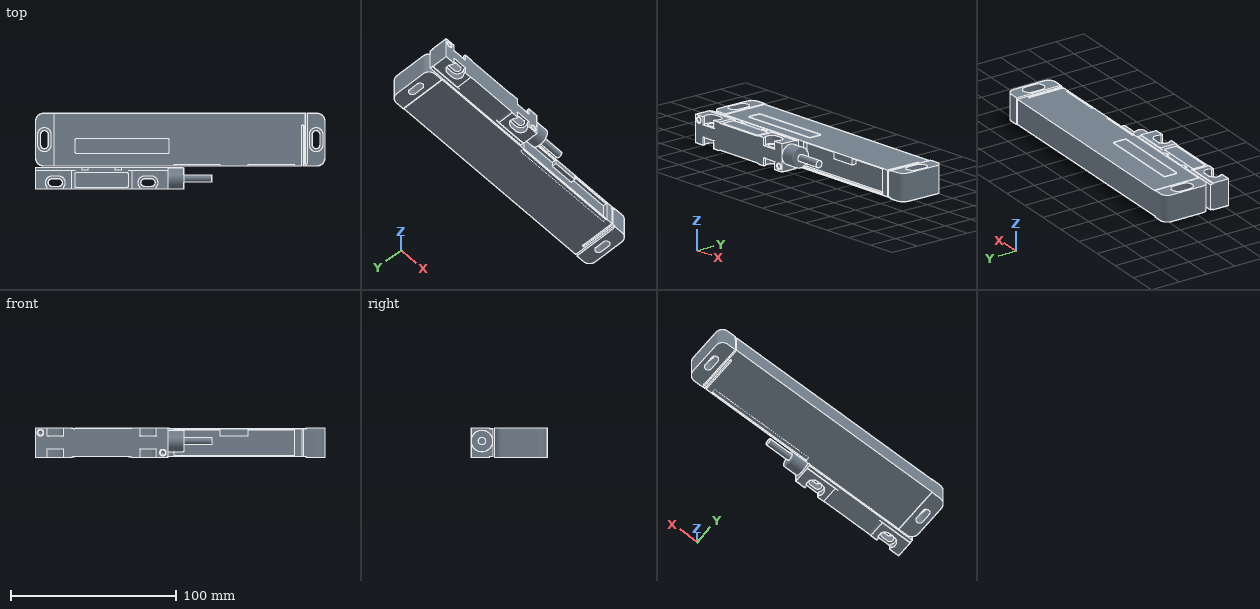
import cadquery as cq
HEIGHT = 18.0
STEP = 0.5
OVERLAP = 1.0

HOUSING_LENGTH = 175.0
HOUSING_FRONT = 14.0
HOUSING_BACK = 46.0
HOUSING_MIDDLE = (HOUSING_FRONT + HOUSING_BACK) / 2
CORNER_RADIUS = 5.0
LEFT_CAP_END = 11.2

SLIT_WIDTH = 1.0
BACK_SLIT_X = 163.1
BACK_SLIT_END = 15.2
FRONT_SLIT_X = 161.0
FRONT_SLIT_END = 38.6
RIGHT_BLOCK_X = BACK_SLIT_X + SLIT_WIDTH / 2

MOUNT_SLOT_X = (5.4, 169.6)
MOUNT_STRAIGHT = 6.3
MOUNT_WIDTH = 4.5
MOUNT_BORE_WIDTH = 8.2
BORE_DEPTH = 5.1

LABEL_X = (24.0, 80.8)
LABEL_Y = (21.5, 30.7)
LABEL_RADIUS = 1.0
LABEL_THICKNESS = 0.3

WINDOW_X = (83.6, 156.6)
WINDOW_RIM = 1.2
WINDOW_DEPTH = 3.0
LEDGE_RIM = 0.8
LEDGE_DEPTH = 0.8
PAD_X = (111.6, 128.4)
PAD_BOTTOM = 13.1

SENSOR_LENGTH = 80.0
SENSOR_BACK = 13.25
SENSOR_CENTER = SENSOR_LENGTH / 2
LIP_FRONT = 11.2
RELIEF_X = (21.7, SENSOR_LENGTH - 21.7)
RELIEF_RADIUS = 5.0
RELIEF_RUN = (2 * RELIEF_RADIUS * STEP - STEP**2) ** 0.5
PLATE_Y = (1.1, 10.0)
PLATE_RADIUS = 0.7
PLATE_HEIGHT = 0.1

NOTCH_OFFSET = 10.0
NOTCH_WIDTH = 3.7
NOTCH_DEPTH = 0.7
NOTCH_FRONT = 11.6

SENSOR_SLOT_INSET = 12.0
SENSOR_SLOT_X = (SENSOR_SLOT_INSET, SENSOR_LENGTH - SENSOR_SLOT_INSET)
SENSOR_SLOT_Y = 4.0
SENSOR_STRAIGHT = 4.0
SENSOR_SLOT_WIDTH = 4.5
SENSOR_BORE_WIDTH = 8.0
BORE_OPENING = 9.8

DISH_INSET = 3.0
DISH_RADIUS = 2.0
DISH_SEAT_DEPTH = 0.2
DISH_BOWL_RADIUS = 1.6

GLAND_Y = 6.5
GLAND_Z = 10.0
GLAND_DIAMETER = 13.0
GLAND_END = 89.7
GLAND_ROUND = 0.5
CABLE_DIAMETER = 4.5
CABLE_END = 106.6


def block(x_range, y_range, z_range):
    """Axis-aligned box between pairs of coordinates."""
    size = [end - start for start, end in (x_range, y_range, z_range)]
    corner = (x_range[0], y_range[0], z_range[0])
    return cq.Workplane("XY").box(*size, centered=False).translate(corner)


def slot_cutter(x, y, straight, width, angle, z_range):
    """Vertical prism with a round-ended slot outline."""
    return (
        cq.Workplane("XY", origin=(x, y, z_range[0]))
        .slot2D(straight + width, width, angle)
        .extrude(z_range[1] - z_range[0])
    )


def through_z():
    return (-OVERLAP, HEIGHT + OVERLAP)


def cut_flexure(body):
    """Two opposed slits leave a folded spring link before the right block."""
    back_slit = (
        block(
            (BACK_SLIT_X, BACK_SLIT_X + SLIT_WIDTH),
            (BACK_SLIT_END, HOUSING_BACK + OVERLAP),
            through_z(),
        )
        .edges("|Z and <Y")
        .fillet(SLIT_WIDTH * 0.45)
    )
    front_slit = block(
        (FRONT_SLIT_X, FRONT_SLIT_X + SLIT_WIDTH),
        (HOUSING_FRONT - OVERLAP, FRONT_SLIT_END),
        through_z(),
    )
    return body.cut(back_slit).cut(front_slit)


def cut_window(body):
    """Front recess with a ledge along its top and bottom, and a flush pad at the top."""
    for rim, depth in ((LEDGE_RIM, LEDGE_DEPTH), (WINDOW_RIM, WINDOW_DEPTH)):
        y_range = (HOUSING_FRONT - OVERLAP, HOUSING_FRONT + depth)
        body = body.cut(block(WINDOW_X, y_range, (rim, HEIGHT - rim)))
    pad_y = (HOUSING_FRONT, HOUSING_FRONT + WINDOW_DEPTH)
    return body.union(block(PAD_X, pad_y, (PAD_BOTTOM, HEIGHT - STEP)))


def make_housing():
    y_range = (HOUSING_FRONT, HOUSING_BACK)
    body = block((0, HOUSING_LENGTH), y_range, (0, HEIGHT))
    body = body.edges("|Z").fillet(CORNER_RADIUS)

    thin_x = (LEFT_CAP_END, RIGHT_BLOCK_X)
    beyond_y = (HOUSING_FRONT - OVERLAP, HOUSING_BACK + OVERLAP)
    body = body.cut(block(thin_x, beyond_y, (HEIGHT - STEP, HEIGHT + OVERLAP)))
    body = body.cut(block(thin_x, beyond_y, (-OVERLAP, STEP)))

    body = cut_flexure(body)
    body = cut_window(body)

    for x in MOUNT_SLOT_X:
        place = (x, HOUSING_MIDDLE, MOUNT_STRAIGHT)
        body = body.cut(slot_cutter(*place, MOUNT_WIDTH, 90, through_z()))
        bore_z = (HEIGHT - BORE_DEPTH, HEIGHT + OVERLAP)
        body = body.cut(slot_cutter(*place, MOUNT_BORE_WIDTH, 90, bore_z))

    cover = HEIGHT - STEP
    label = block(LABEL_X, LABEL_Y, (cover, cover + LABEL_THICKNESS))
    return body.union(label.edges("|Z").fillet(LABEL_RADIUS))


def cut_relief(body):
    """Shallow relief with curved run-outs across the top; the lower one mirrors it."""
    start, end = RELIEF_X
    floor = HEIGHT - STEP
    arc_dip = RELIEF_RADIUS - (RELIEF_RADIUS**2 - (RELIEF_RUN / 2) ** 2) ** 0.5
    relief = (
        cq.Workplane("XZ")
        .moveTo(start, HEIGHT)
        .threePointArc((start + RELIEF_RUN / 2, floor + arc_dip), (start + RELIEF_RUN, floor))
        .lineTo(end - RELIEF_RUN, floor)
        .threePointArc((end - RELIEF_RUN / 2, floor + arc_dip), (end, HEIGHT))
        .close()
        .extrude(-SENSOR_BACK)
    )
    lip = block((0, SENSOR_LENGTH), (LIP_FRONT, SENSOR_BACK), (floor, HEIGHT))
    upper = relief.union(lip)
    lower = upper.mirror("XY", (0, 0, HEIGHT / 2))
    return body.cut(upper).cut(lower)


def cut_notches(body):
    """Shallow round-bottomed notches in the rear edge of the lip."""
    top = HEIGHT - STEP
    for x in (SENSOR_CENTER - NOTCH_OFFSET, SENSOR_CENTER + NOTCH_OFFSET):
        notch = (
            cq.Workplane("XZ", origin=(x, NOTCH_FRONT, top))
            .moveTo(-NOTCH_WIDTH / 2, 0)
            .threePointArc((0, -NOTCH_DEPTH), (NOTCH_WIDTH / 2, 0))
            .close()
            .extrude(-SENSOR_BACK)
        )
        body = body.cut(notch)
    return body


def cut_sensor_mounts(body):
    """Through slots counterbored from both faces, the bores breaking out at the front."""
    for x in SENSOR_SLOT_X:
        place = (x, SENSOR_SLOT_Y, SENSOR_STRAIGHT)
        body = body.cut(slot_cutter(*place, SENSOR_SLOT_WIDTH, 0, through_z()))
        opening_x = (x - BORE_OPENING / 2, x + BORE_OPENING / 2)
        for bore_z in ((HEIGHT - BORE_DEPTH, HEIGHT), (0, BORE_DEPTH)):
            body = body.cut(slot_cutter(*place, SENSOR_BORE_WIDTH, 0, bore_z))
            body = body.cut(block(opening_x, (0, SENSOR_SLOT_Y), bore_z))
    return body


def cut_dishes(body):
    """Round seats with a hemispherical bowl at two opposite corners of the front face."""
    corners = (
        (DISH_INSET, HEIGHT - DISH_INSET),
        (SENSOR_LENGTH - DISH_INSET, DISH_INSET),
    )
    for x, z in corners:
        seat = cq.Workplane("XZ", origin=(x, 0, z)).circle(DISH_RADIUS).extrude(-DISH_SEAT_DEPTH)
        bowl = cq.Workplane("XY").sphere(DISH_BOWL_RADIUS).translate((x, DISH_SEAT_DEPTH, z))
        body = body.cut(seat).cut(bowl)
    return body


def cylinder_x(diameter, start, end):
    """Cylinder on the cable axis."""
    plane = cq.Plane(origin=(start, GLAND_Y, GLAND_Z), xDir=(0, 0, 1), normal=(1, 0, 0))
    return cq.Workplane(plane).circle(diameter / 2).extrude(end - start)


def make_sensor():
    body = block((0, SENSOR_LENGTH), (0, SENSOR_BACK), (0, HEIGHT))
    body = cut_relief(body)
    body = cut_notches(body)
    body = cut_sensor_mounts(body)
    body = cut_dishes(body)

    plate_x = (RELIEF_X[0] + RELIEF_RUN, RELIEF_X[1] - RELIEF_RUN)
    floor = HEIGHT - STEP
    plate = block(plate_x, PLATE_Y, (floor, floor + PLATE_HEIGHT))
    body = body.union(plate.edges("|Z").fillet(PLATE_RADIUS))

    gland = cylinder_x(GLAND_DIAMETER, SENSOR_LENGTH, GLAND_END)
    body = body.union(gland.faces(">X").edges().fillet(GLAND_ROUND))
    return body.union(cylinder_x(CABLE_DIAMETER, GLAND_END, CABLE_END))


housing = make_housing()
sensor = make_sensor()

result = cq.Compound.makeCompound([housing.val(), sensor.val()])